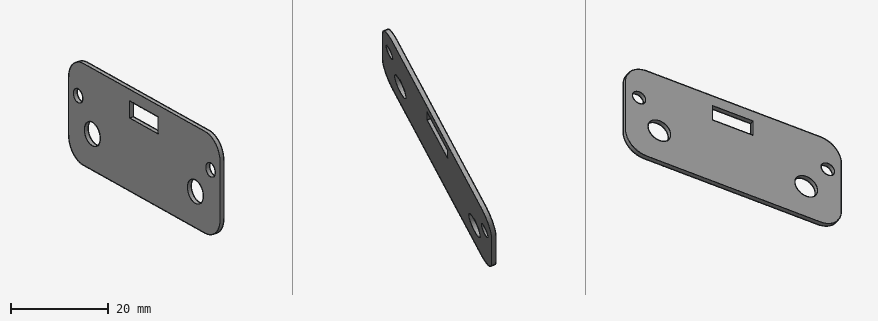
import cadquery as cq

length = 51.0
height = 23.0
thickness = 1.0
corner_radius = 5.0

small_diameter = 3.1
small_spacing = 44.55
small_z = 3.5

cutout_center_x = -0.15
large_diameter = 5.3
large_spacing = 34.7
large_z = -3.3
window_length = 9.55
window_height = 3.8
window_z = 6.95

cutter_depth = 2 * thickness
cutter_plane = cq.Workplane("XZ", origin=(0, cutter_depth / 2, 0))


def hole_pair(diameter, spacing, center_x, z):
    """Cutter for two equal holes at one height, spaced along X."""
    centers = [(center_x + side * spacing / 2, z) for side in (-1, 1)]
    return cutter_plane.pushPoints(centers).circle(diameter / 2).extrude(cutter_depth)


plate = cq.Workplane("XY").box(length, thickness, height).edges("|Y").fillet(corner_radius)

small_holes = hole_pair(small_diameter, small_spacing, 0, small_z)
large_holes = hole_pair(large_diameter, large_spacing, cutout_center_x, large_z)
window = (
    cutter_plane.center(cutout_center_x, window_z)
    .rect(window_length, window_height)
    .extrude(cutter_depth)
)

result = plate.cut(small_holes).cut(large_holes).cut(window)